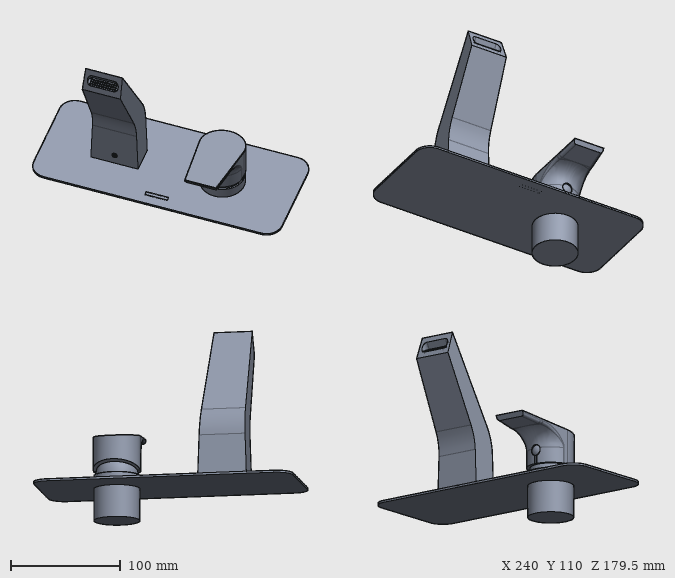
import cadquery as cq
import math


plate_length = 240.0
plate_width = 100.0
plate_thickness = 2.0
plate_corner_radius = 15.0

badge_length = 21.5
badge_width = 3.5
badge_depth = 1.0
badge_y = -38.2

spout_x = -50.0
spout_depth = 25.0
spout_bottom_width = 45.5
spout_top_width = 35.5
spout_top_z = 150.0
spout_bend_z = 45.0
spout_bend_radius = 50.0
back_lean = 30.2
front_lean = 26.2
mouth_lower_z = 129.4

mouth_slot_length = 29.5
mouth_slot_width = 8.0
aerator_recess = 3.4
aerator_thickness = 4.8
nozzle_diameter = 1.3
nozzle_pitch = 2.2
nozzle_columns = 12
nozzle_rows = 3

screw_hole_diameter = 5.0
screw_diameter = 4.8
screw_length = 4.8
screw_z = 12.0
socket_sides = 6
socket_diameter = 2.5
socket_depth = 2.0
screw_chamfer = 0.5

handle_x = 50.0
sleeve_diameter = 42.0
sleeve_bottom_z = -29.5
sleeve_top_z = 12.2
ball_diameter = 39.0

barrel_radius = 21.5
barrel_front_radius = 22.0
barrel_bottom_z = 16.8
barrel_rear_rise = 7.2
flare_start_z = 31.2
flare_end_y = -37.0
flare_end_z = 49.0
lever_tip_y = -60.0
lever_tip_width = 30.7
lever_tip_z = 57.0
lever_rear_z = 46.0
lever_tip_bottom_y = -57.5
lever_tip_bottom_z = 52.0
lever_edge_chamfer = 0.5
lever_underside_fillet = 3.0

button_z = 29.5
button_diameter = 9.5
button_hole_diameter = 10.0
button_inner_y = -16.8
button_rim_y = -21.0
button_crown_y = -22.8
groove_width = 3.0
groove_depth = 0.7


def make_badge():
    return (
        cq.Workplane("XY", origin=(0, badge_y, plate_thickness - badge_depth))
        .rect(badge_length, badge_width)
        .extrude(badge_depth)
    )


def make_cartridge():
    sleeve = (
        cq.Workplane("XY", origin=(handle_x, 0, sleeve_bottom_z))
        .circle(sleeve_diameter / 2)
        .extrude(sleeve_top_z - sleeve_bottom_z)
    )
    ball = cq.Workplane("XY", origin=(handle_x, 0, sleeve_top_z)).sphere(ball_diameter / 2)
    return sleeve.union(ball)


def make_plate(badge, cartridge):
    plate = (
        cq.Workplane("XY")
        .rect(plate_length, plate_width)
        .extrude(plate_thickness)
        .edges("|Z")
        .fillet(plate_corner_radius)
    )
    return plate.cut(badge).cut(cartridge)


def bend_point(start_y, degrees):
    angle = math.radians(degrees)
    y = start_y - spout_bend_radius * (1 - math.cos(angle))
    z = spout_bend_z + spout_bend_radius * math.sin(angle)
    return (y, z)


def lean_to(point, degrees, z):
    return (point[0] - (z - point[1]) * math.tan(math.radians(degrees)), z)


back_y = spout_depth / 2
front_y = -spout_depth / 2
mouth_top = lean_to(bend_point(back_y, back_lean), back_lean, spout_top_z)
mouth_bottom = lean_to(bend_point(front_y, front_lean), front_lean, mouth_lower_z)


def make_spout_blank():
    side = (
        cq.Workplane("YZ", origin=(spout_x, 0, 0))
        .moveTo(back_y, plate_thickness)
        .lineTo(back_y, spout_bend_z)
        .threePointArc(bend_point(back_y, back_lean / 2), bend_point(back_y, back_lean))
        .lineTo(*mouth_top)
        .lineTo(*mouth_bottom)
        .lineTo(*bend_point(front_y, front_lean))
        .threePointArc(bend_point(front_y, front_lean / 2), (front_y, spout_bend_z))
        .lineTo(front_y, plate_thickness)
        .close()
        .extrude(spout_bottom_width / 2, both=True)
    )
    taper = (
        cq.Workplane("XZ", origin=(spout_x, 0, 0))
        .moveTo(-spout_bottom_width / 2, plate_thickness)
        .lineTo(spout_bottom_width / 2, plate_thickness)
        .lineTo(spout_top_width / 2, spout_top_z)
        .lineTo(-spout_top_width / 2, spout_top_z)
        .close()
        .extrude(spout_top_z, both=True)
    )
    return side.intersect(taper)


def mouth_plane(depth):
    lean = math.radians((back_lean + front_lean) / 2)
    y = (mouth_top[0] + mouth_bottom[0]) / 2 + depth * math.sin(lean)
    z = (mouth_top[1] + mouth_bottom[1]) / 2 - depth * math.cos(lean)
    return cq.Plane(
        origin=(spout_x, y, z),
        xDir=(1, 0, 0),
        normal=(0, -math.sin(lean), math.cos(lean)),
    )


def make_aerator():
    return (
        cq.Workplane(mouth_plane(aerator_recess + aerator_thickness))
        .slot2D(mouth_slot_length, mouth_slot_width)
        .extrude(aerator_thickness)
        .faces(">Z")
        .workplane(origin=mouth_plane(aerator_recess).origin)
        .rarray(nozzle_pitch, nozzle_pitch, nozzle_columns, nozzle_rows)
        .hole(nozzle_diameter)
    )


def make_screw():
    return (
        cq.Workplane("XZ", origin=(spout_x, front_y, screw_z))
        .circle(screw_diameter / 2)
        .extrude(-screw_length)
        .faces("<Y")
        .chamfer(screw_chamfer)
        .faces("<Y")
        .workplane(origin=(spout_x, front_y, screw_z))
        .polygon(socket_sides, socket_diameter)
        .cutBlind(-socket_depth)
    )


def make_spout():
    slot_depth = aerator_recess + aerator_thickness
    mouth_slot = (
        cq.Workplane(mouth_plane(slot_depth))
        .slot2D(mouth_slot_length, mouth_slot_width)
        .extrude(2 * slot_depth)
    )
    screw_hole = (
        cq.Workplane("XZ", origin=(spout_x, front_y, screw_z))
        .circle(screw_hole_diameter / 2)
        .extrude(-screw_length)
    )
    return make_spout_blank().cut(mouth_slot).cut(screw_hole)


def make_handle_plan():
    half_tip = lever_tip_width / 2
    tip_distance = math.hypot(half_tip, lever_tip_y)
    tangent_angle = math.acos(barrel_radius / tip_distance) + math.atan2(lever_tip_y, half_tip)
    tangent_x = barrel_radius * math.cos(tangent_angle)
    tangent_y = barrel_radius * math.sin(tangent_angle)
    return (
        cq.Workplane("XY", origin=(handle_x, 0, barrel_bottom_z))
        .moveTo(-half_tip, lever_tip_y)
        .lineTo(half_tip, lever_tip_y)
        .lineTo(tangent_x, tangent_y)
        .threePointArc((0, barrel_radius), (-tangent_x, tangent_y))
        .close()
        .extrude(lever_tip_z - barrel_bottom_z)
    )


def make_flared_barrel():
    underside_slope = math.atan2(
        lever_tip_bottom_z - flare_end_z, flare_end_y - lever_tip_bottom_y
    )
    flare_end = (-flare_end_y, flare_end_z)
    return (
        cq.Workplane("XZ", origin=(handle_x, 0, 0))
        .moveTo(0, barrel_bottom_z)
        .lineTo(barrel_front_radius, barrel_bottom_z)
        .lineTo(barrel_front_radius, flare_start_z)
        .spline(
            [flare_end],
            tangents=[(0, 1), (math.cos(underside_slope), math.sin(underside_slope))],
            includeCurrent=True,
        )
        .lineTo(-flare_end_y, lever_tip_z)
        .lineTo(0, lever_tip_z)
        .close()
        .revolve()
    )


def make_lever():
    return (
        cq.Workplane("YZ", origin=(handle_x, 0, 0))
        .moveTo(0, flare_end_z)
        .lineTo(flare_end_y, flare_end_z)
        .lineTo(lever_tip_bottom_y, lever_tip_bottom_z)
        .lineTo(lever_tip_y, lever_tip_z - lever_edge_chamfer)
        .lineTo(lever_tip_y, lever_tip_z)
        .lineTo(0, lever_tip_z)
        .close()
        .extrude(barrel_radius, both=True)
    )


def make_handle_side():
    return (
        cq.Workplane("YZ", origin=(handle_x, 0, 0))
        .moveTo(barrel_radius, barrel_bottom_z + barrel_rear_rise)
        .lineTo(barrel_radius, lever_rear_z)
        .lineTo(lever_tip_y, lever_tip_z)
        .lineTo(lever_tip_y, barrel_bottom_z)
        .lineTo(0, barrel_bottom_z)
        .close()
        .extrude(2 * barrel_radius, both=True)
    )


def make_button():
    button_radius = button_diameter / 2
    crown_height = button_rim_y - button_crown_y
    crown_radius = (button_radius**2 + crown_height**2) / (2 * crown_height)
    shank = (
        cq.Workplane("XZ", origin=(handle_x, button_inner_y, button_z))
        .circle(button_radius)
        .extrude(button_inner_y - button_crown_y)
    )
    crown = cq.Workplane("XY", origin=(handle_x, button_crown_y + crown_radius, button_z))
    return shank.intersect(crown.sphere(crown_radius))


def round_lever_underside(handle, side):
    lower_edge_zone = cq.selectors.BoxSelector(
        (handle_x + side * lever_tip_width / 2, lever_tip_bottom_y, flare_start_z),
        (handle_x + side * barrel_radius, -barrel_radius / 2, lever_tip_bottom_z),
    )
    return handle.edges(lower_edge_zone).fillet(lever_underside_fillet)


def make_handle(cartridge):
    envelope = make_handle_plan().intersect(make_handle_side())
    envelope = envelope.faces(">Z").edges().chamfer(lever_edge_chamfer)
    handle = make_flared_barrel().union(make_lever()).intersect(envelope)
    for side in (-1, 1):
        handle = round_lever_underside(handle, side)
    button_hole = (
        cq.Workplane("XZ", origin=(handle_x, button_inner_y, button_z))
        .circle(button_hole_diameter / 2)
        .extrude(2 * barrel_radius)
    )
    groove = cq.Workplane("XY").box(
        groove_width, 2 * groove_depth, button_z - barrel_bottom_z, centered=(True, True, False)
    ).translate((handle_x, -barrel_front_radius, barrel_bottom_z))
    return handle.cut(cartridge).cut(button_hole).cut(groove)


badge = make_badge()
cartridge = make_cartridge()
plate = make_plate(badge, cartridge)
spout = make_spout()
aerator = make_aerator()
screw = make_screw()
handle = make_handle(cartridge)
button = make_button()

result = cq.Compound.makeCompound([
    plate.val(),
    badge.val(),
    spout.val(),
    aerator.val(),
    screw.val(),
    cartridge.val(),
    handle.val(),
    button.val(),
])